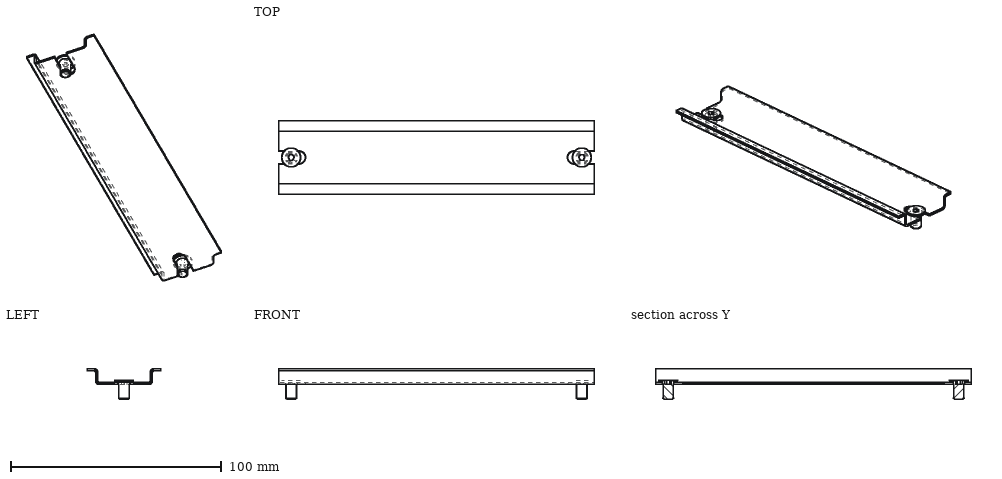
import cadquery as cq

rail_length = 150.0
rail_width = 35.0
rail_height = 7.5
sheet = 1.0
channel_width = 27.0
inner_bend = 0.8
outer_bend = inner_bend + sheet

slot_width = 6.0
slot_depth = 12.8

screw_inset = 6.0
head_diameter = 9.0
head_height = 0.9
shank_diameter = 5.1
shank_drop = 7.0
tip_chamfer = 0.6
socket_corners = 2.8
neck_diameter = 5.8
neck_bottom = -0.2
socket_depth = 1.8


def make_rail_sheet():
    """Floor, two upright walls and two outward flanges, with rounded bends."""
    half_channel = channel_width / 2
    half_inside = half_channel - sheet
    half_width = rail_width / 2
    flange_underside = rail_height - sheet
    outline = [
        (-half_width, rail_height),
        (-half_inside, rail_height),
        (-half_inside, sheet),
        (half_inside, sheet),
        (half_inside, rail_height),
        (half_width, rail_height),
        (half_width, flange_underside),
        (half_channel, flange_underside),
        (half_channel, 0),
        (-half_channel, 0),
        (-half_channel, flange_underside),
        (-half_width, flange_underside),
    ]
    sheet_body = (
        cq.Workplane("YZ").polyline(outline).close().extrude(rail_length / 2, both=True)
    )
    outer_corners = [(half_inside, rail_height), (half_channel, 0)]
    inner_corners = [(half_inside, sheet), (half_channel, flange_underside)]
    for corners, radius in ((outer_corners, outer_bend), (inner_corners, inner_bend)):
        for y, z in corners:
            for side in (-1, 1):
                corner = cq.selectors.NearestToPointSelector((0, side * y, z))
                sheet_body = sheet_body.edges("|X").edges(corner).fillet(radius)
    return sheet_body


def make_slot_cutter(side):
    """Slot with a round inner end, running out through the rail end."""
    round_center = side * (rail_length / 2 - slot_depth + slot_width / 2)
    straight_length = slot_depth - slot_width / 2
    straight = (
        cq.Workplane("XY")
        .center(round_center + side * straight_length / 2, 0)
        .rect(straight_length, slot_width)
        .extrude(sheet)
    )
    round_end = cq.Workplane("XY").center(round_center, 0).circle(slot_width / 2).extrude(sheet)
    return straight.union(round_end)


def make_rail():
    rail = make_rail_sheet()
    for side in (-1, 1):
        rail = rail.cut(make_slot_cutter(side))
    return rail


def make_screw(side):
    """Flat-headed screw resting on the floor, its neck flaring from the shank up to the head."""
    shank = (
        cq.Workplane("XY", origin=(0, 0, -shank_drop))
        .circle(shank_diameter / 2)
        .extrude(shank_drop + neck_bottom)
        .faces("<Z")
        .chamfer(tip_chamfer)
    )
    neck = (
        cq.Workplane("XY", origin=(0, 0, neck_bottom))
        .circle(shank_diameter / 2)
        .workplane(offset=sheet - neck_bottom)
        .circle(neck_diameter / 2)
        .loft(ruled=True)
    )
    head = cq.Workplane("XY", origin=(0, 0, sheet)).circle(head_diameter / 2).extrude(head_height)
    socket = (
        cq.Workplane("XY", origin=(0, 0, sheet + head_height))
        .polygon(6, socket_corners)
        .extrude(-socket_depth)
    )
    screw = head.union(neck).union(shank).cut(socket)
    return screw.translate((side * (rail_length / 2 - screw_inset), 0, 0))


rail = make_rail()
screws = [make_screw(side) for side in (-1, 1)]

result = cq.Compound.makeCompound([rail.val(), *[screw.val() for screw in screws]])